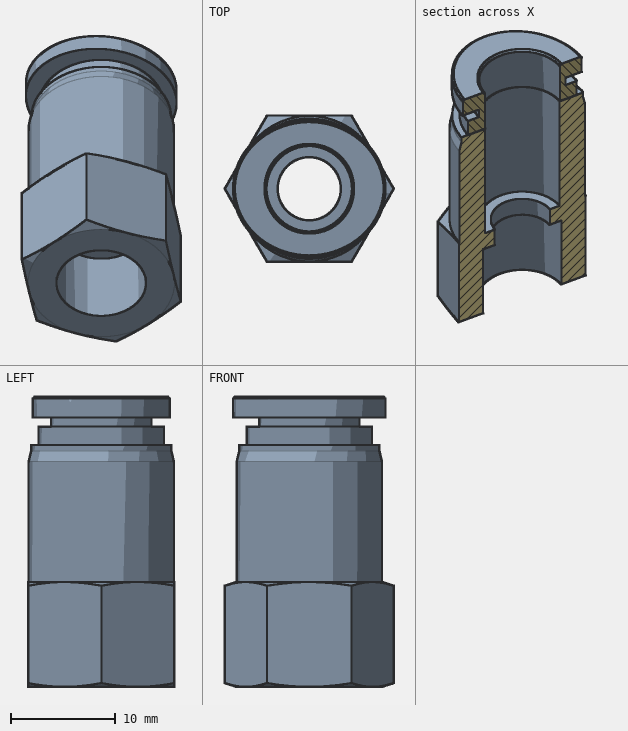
import cadquery as cq
import math

HEX_FLATS = 14.0
HEX_HEIGHT = 10.0
HEX_CHAMFER_ANGLE = 18.0
HEX_CORNERS = HEX_FLATS / math.cos(math.radians(30))

BARREL_DIA = 13.9
RIM_DIA = 13.4
BARREL_TOP = 21.5
TAPER_TOP = 22.52
RIM_TOP = 23.1

TUBE_BORE_DIA = 8.15
TUBE_STOP = HEX_HEIGHT
PASSAGE_DIA = 6.0
THREAD_DIA = 8.55
THREAD_DEPTH = 8.0

SLEEVE_TOP = 27.7
COLLAR_DIA = 12.0
COLLAR_TOP = 24.85
NECK_DIA = 9.6
CAP_LENGTH = 14.57
CAP_WIDTH = 13.1
CAP_HEIGHT = 2.0
CAP_BOTTOM = SLEEVE_TOP - CAP_HEIGHT
CAP_CHAMFER = 0.2
SLEEVE_BORE_DIA = 8.2
MOUTH_CHAMFER = 0.2


def cylinder(diameter, bottom, top):
    """Upright cylinder on the part axis between two heights."""
    return cq.Workplane("XY").workplane(offset=bottom).circle(diameter / 2).extrude(top - bottom)


def make_hex_base():
    """Hexagon with its corners across X, turned down conically at both ends."""
    prism = cq.Workplane("XY").polygon(6, HEX_CORNERS).extrude(HEX_HEIGHT)
    inner = HEX_FLATS / 2
    outer = HEX_CORNERS / 2
    drop = (outer - inner) * math.tan(math.radians(HEX_CHAMFER_ANGLE))
    envelope = (
        cq.Workplane("XZ")
        .moveTo(0, 0)
        .lineTo(inner, 0)
        .lineTo(outer, drop)
        .lineTo(outer, HEX_HEIGHT - drop)
        .lineTo(inner, HEX_HEIGHT)
        .lineTo(0, HEX_HEIGHT)
        .close()
        .revolve(360, (0, 0, 0), (0, 1, 0))
    )
    return prism.intersect(envelope)


def make_barrel():
    """Round barrel with a tapered shoulder and a short straight rim."""
    return (
        cq.Workplane("XZ")
        .moveTo(0, HEX_HEIGHT)
        .lineTo(BARREL_DIA / 2, HEX_HEIGHT)
        .lineTo(BARREL_DIA / 2, BARREL_TOP)
        .lineTo(RIM_DIA / 2, TAPER_TOP)
        .lineTo(RIM_DIA / 2, RIM_TOP)
        .lineTo(0, RIM_TOP)
        .close()
        .revolve(360, (0, 0, 0), (0, 1, 0))
    )


def make_housing():
    """Hexagonal base and barrel, bored through in three diameters."""
    return (
        make_hex_base()
        .union(make_barrel())
        .cut(cylinder(THREAD_DIA, 0, THREAD_DEPTH))
        .cut(cylinder(PASSAGE_DIA, 0, RIM_TOP))
        .cut(cylinder(TUBE_BORE_DIA, TUBE_STOP, RIM_TOP))
    )


def make_cap():
    """Elliptical push plate with a chamfered upper edge."""
    return (
        cq.Workplane("XY")
        .workplane(offset=CAP_BOTTOM)
        .ellipse(CAP_LENGTH / 2, CAP_WIDTH / 2)
        .extrude(CAP_HEIGHT)
        .faces(">Z")
        .edges()
        .chamfer(CAP_CHAMFER)
    )


def make_mouth():
    """Conical lead-in at the top of the sleeve bore."""
    radius = SLEEVE_BORE_DIA / 2
    return cq.Workplane(
        cq.Solid.makeCone(
            radius, radius + MOUTH_CHAMFER, MOUTH_CHAMFER, cq.Vector(0, 0, SLEEVE_TOP - MOUTH_CHAMFER)
        )
    )


def make_sleeve():
    """Collar, neck and cap in one piece, with a plain bore for the tube."""
    return (
        cylinder(COLLAR_DIA, RIM_TOP, COLLAR_TOP)
        .union(cylinder(NECK_DIA, COLLAR_TOP, CAP_BOTTOM))
        .union(make_cap())
        .cut(cylinder(SLEEVE_BORE_DIA, RIM_TOP, SLEEVE_TOP))
        .cut(make_mouth())
    )


housing = make_housing()
sleeve = make_sleeve()

result = cq.Compound.makeCompound([housing.solids().val(), sleeve.solids().val()])